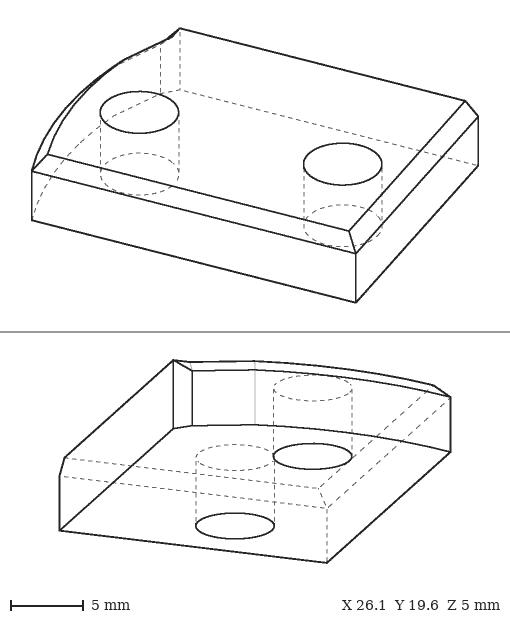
import cadquery as cq
import math

thickness = 5.0
hole_diameter = 5.4
hole_spacing = 15.5
right_margin = 5.1
back_y = 11.0
front_y = -8.6
edge_chamfer = 1.0

bow_radius = 27.5
bow_margin = 5.5
bow_end_y = 6.0
flat_end_y = 10.0
flat_setback = 2.34

right_x = hole_spacing / 2 + right_margin
bow_x = -hole_spacing / 2 - bow_margin
flat_end_x = bow_x + flat_setback
corner_cut = back_y - flat_end_y
selection_margin = 0.1


def bow_point(y):
    """Point on the bow, whose centre lies on the line through the holes."""
    return (bow_x + bow_radius - math.sqrt(bow_radius**2 - y**2), y)


def make_plate():
    return (
        cq.Workplane("XY")
        .moveTo(right_x, back_y)
        .lineTo(right_x, front_y)
        .lineTo(*bow_point(front_y))
        .threePointArc((bow_x, 0), bow_point(bow_end_y))
        .lineTo(flat_end_x, flat_end_y)
        .lineTo(flat_end_x, back_y)
        .close()
        .extrude(thickness)
    )


def chamfer_top(plate):
    """Bevel every top edge except the straight back one."""
    back_edge = cq.selectors.BoxSelector(
        (bow_x, back_y - selection_margin, 0),
        (right_x, back_y + selection_margin, thickness + selection_margin),
    )
    top_edges = plate.faces(">Z").edges()
    return top_edges.edges(cq.selectors.InverseSelector(back_edge)).chamfer(edge_chamfer)


def cut_back_corner(plate):
    """Cut the back left corner off at 45 degrees through the full thickness."""
    corner = (
        cq.Workplane("XY")
        .moveTo(flat_end_x, flat_end_y)
        .lineTo(flat_end_x + corner_cut, back_y)
        .lineTo(flat_end_x, back_y)
        .close()
        .extrude(thickness)
    )
    return plate.cut(corner)


def drill_holes(plate):
    holes = (
        cq.Workplane("XY")
        .pushPoints([(-hole_spacing / 2, 0), (hole_spacing / 2, 0)])
        .circle(hole_diameter / 2)
        .extrude(thickness)
    )
    return plate.cut(holes)


result = drill_holes(cut_back_corner(chamfer_top(make_plate())))